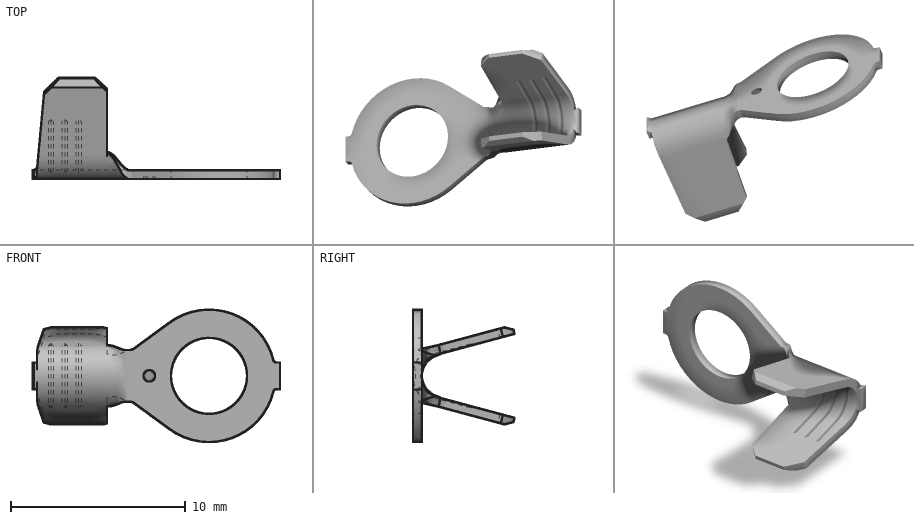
import cadquery as cq
import math

sheet = 0.52

eye_radius = 3.81
hole_radius = 2.175
end_tab_x = 4.08
tab_half_width = 0.77
tab_fillet = 0.18

neck_half_width = 1.49
neck_eye_x = -4.42
neck_fillet = 0.45
trough_end_x = -4.62
dimple_x = -3.43
dimple_radius = 0.33
dimple_depth = 0.14

barrel_front_x = -5.845
barrel_rear_x = -9.88
rear_tab_x = -10.14
rear_tab_flat = 0.08
bend_radius = 1.8
flare_angle = math.radians(15)
overall_height = 5.84
rear_slant_start_y = 0.6
rear_slant_slope = 0.092

rear_corner = (1.26, 1.27)
front_corner = (0.73, 0.69)
coin_length = 0.46
coin_depth = sheet / 2

groove_count = 3
groove_pitch = 0.8
groove_width = 0.3
groove_depth = 0.1
first_groove_x = -9.08
groove_top_y = 3.4

trough_start_angle = math.radians(80)
trough_sections = [
    (
        barrel_front_x,
        bend_radius * math.sin(trough_start_angle),
        bend_radius * (1 - math.cos(trough_start_angle)),
    ),
    (-5.3, 1.64, 0.88),
    (-4.9, 1.5, 0.2),
]

flare_sin = math.sin(flare_angle)
flare_cos = math.cos(flare_angle)
inner_bend_radius = bend_radius - sheet


def box_between(x_start, x_end, y_start, y_end, half_width):
    """Box given by its X and Y limits, centred on Z = 0."""
    corner_plane = cq.Workplane("XY", origin=(x_start, y_start, 0))
    return corner_plane.box(x_end - x_start, y_end - y_start, 2 * half_width, centered=(False, False, True))


def curved_section(x, half_width, rise):
    """Wire at x: a strip of sheet bent to an arc whose outer edges rise above Y = 0."""
    radius = (half_width**2 + rise**2) / (2 * rise)
    inner_scale = (radius - sheet) / radius
    inner_z = half_width * inner_scale
    inner_y = radius - (radius - rise) * inner_scale
    plane = cq.Workplane("YZ", origin=(x, 0, 0))
    outline = plane.moveTo(rise, -half_width).threePointArc((0, 0), (rise, half_width))
    outline = outline.lineTo(inner_y, inner_z).threePointArc((sheet, 0), (inner_y, -inner_z))
    return outline.close().val()


def flat_section(x, half_width):
    """Wire at x: a flat strip of sheet resting on Y = 0."""
    plane = cq.Workplane("YZ", origin=(x, 0, 0))
    outline = plane.moveTo(0, -half_width).lineTo(0, half_width)
    return outline.lineTo(sheet, half_width).lineTo(sheet, -half_width).close().val()


def fillet_corner(body, corner, radius):
    """Round the edge along Y that lies nearest to the given point."""
    nearest = cq.selectors.NearestToPointSelector(corner)
    return body.edges("|Y").edges(nearest).fillet(radius)


def make_eye():
    """Round eye with flanks tangent to it, a short neck, the end tab and the stud hole."""
    neck_distance = math.hypot(neck_eye_x, neck_half_width)
    neck_direction = math.atan2(neck_half_width, neck_eye_x)
    tangent_direction = neck_direction - math.acos(eye_radius / neck_distance)
    tangent_x = eye_radius * math.cos(tangent_direction)
    tangent_z = eye_radius * math.sin(tangent_direction)

    plane = cq.Workplane("XZ", origin=(0, sheet, 0))
    disc = plane.circle(eye_radius).extrude(sheet)
    flanks = (
        plane.polyline(
            [
                (neck_eye_x, -neck_half_width),
                (tangent_x, -tangent_z),
                (tangent_x, tangent_z),
                (neck_eye_x, neck_half_width),
            ]
        )
        .close()
        .extrude(sheet)
    )
    neck = box_between(trough_end_x, tangent_x, 0, sheet, neck_half_width)
    end_tab = box_between(0, end_tab_x, 0, sheet, tab_half_width)
    eye = disc.union(flanks).union(neck).union(end_tab)

    tab_root_x = math.sqrt(eye_radius**2 - tab_half_width**2)
    for side in (-1, 1):
        tab_corner = (tab_root_x, sheet / 2, side * tab_half_width)
        neck_corner = (neck_eye_x, sheet / 2, side * neck_half_width)
        eye = fillet_corner(eye, tab_corner, tab_fillet)
        eye = fillet_corner(eye, neck_corner, neck_fillet)

    hole = plane.circle(hole_radius).extrude(sheet)
    return eye.cut(hole)


def make_trough():
    """Sheet that unrolls from the round barrel to the flat neck."""
    wires = [curved_section(*section) for section in trough_sections]
    wires.append(flat_section(trough_end_x, neck_half_width))
    return cq.Workplane(cq.Solid.makeLoft(wires))


def make_bend():
    """Round bottom of the barrel between the two wings."""
    outer_y = bend_radius * (1 - flare_sin)
    outer_z = bend_radius * flare_cos
    inner_z = inner_bend_radius * flare_cos
    inner_y = bend_radius - inner_bend_radius * flare_sin
    outline = (
        cq.Workplane("YZ", origin=(barrel_rear_x, 0, 0))
        .moveTo(outer_y, -outer_z)
        .threePointArc((0, 0), (outer_y, outer_z))
        .lineTo(inner_y, inner_z)
        .threePointArc((sheet, 0), (inner_y, -inner_z))
        .close()
    )
    return outline.extrude(barrel_front_x - barrel_rear_x)


def make_wing():
    """Wing on the +Z side, with cropped corners and a coined outer tip."""
    inner_root_y = bend_radius - inner_bend_radius * flare_sin
    length = (overall_height - inner_root_y) / flare_cos
    root_y = bend_radius * (1 - flare_sin)
    root_z = bend_radius * flare_cos
    outer_face = cq.Plane((0, root_y, root_z), (1, 0, 0), (0, -flare_sin, flare_cos))

    outline = [
        (barrel_rear_x, 0),
        (barrel_front_x, 0),
        (barrel_front_x, length - front_corner[1]),
        (barrel_front_x - front_corner[0], length),
        (barrel_rear_x + rear_corner[0], length),
        (barrel_rear_x, length - rear_corner[1]),
    ]
    wing = cq.Workplane(outer_face).polyline(outline).close().extrude(-sheet)

    tip_y = root_y + length * flare_cos
    tip_z = root_z + length * flare_sin
    tip_profile = cq.Plane((barrel_rear_x, tip_y, tip_z), (0, flare_cos, flare_sin), (1, 0, 0))
    coin_cut = (
        cq.Workplane(tip_profile)
        .polyline([(0, 0), (-coin_length, 0), (0, -coin_depth)])
        .close()
        .extrude(barrel_front_x - barrel_rear_x)
    )
    return wing.cut(coin_cut)


def make_rear_tab():
    """Carrier tab behind the barrel, flat at its end and curved where it meets the bend."""
    flat_end_x = rear_tab_x + rear_tab_flat
    rise = bend_radius - math.sqrt(bend_radius**2 - tab_half_width**2)
    flat = box_between(rear_tab_x, flat_end_x, 0, sheet, tab_half_width)
    wires = [
        flat_section(flat_end_x, tab_half_width),
        curved_section(barrel_rear_x, tab_half_width, rise),
    ]
    return flat.union(cq.Workplane(cq.Solid.makeLoft(wires, True)))


def make_rear_slant():
    """Cutter that leans the rear edges of the barrel and wings forward."""
    slant_run = (overall_height - rear_slant_start_y) * rear_slant_slope
    return (
        cq.Workplane("XY")
        .polyline(
            [
                (barrel_rear_x, rear_slant_start_y),
                (barrel_rear_x, overall_height),
                (barrel_rear_x + slant_run, overall_height),
            ]
        )
        .close()
        .extrude(overall_height, both=True)
    )


def make_groove(x):
    """Cutter for one V-groove that follows the inside of the bend and both wings."""
    reach = inner_bend_radius + groove_depth
    root_y = bend_radius - reach * flare_sin
    root_z = reach * flare_cos
    top_z = root_z + (groove_top_y - root_y) * flare_sin / flare_cos
    flank_length = groove_width / 2
    flank_taper = math.degrees(math.atan(groove_depth / flank_length))
    flank = (
        cq.Workplane("YZ")
        .moveTo(groove_top_y, -top_z)
        .lineTo(root_y, -root_z)
        .threePointArc((bend_radius - reach, 0), (root_y, root_z))
        .lineTo(groove_top_y, top_z)
        .close()
        .extrude(flank_length, taper=flank_taper)
    )
    return flank.union(flank.mirror("YZ")).translate((x, 0, 0))


def make_dimple():
    """Cutter for the shallow round mark on the outer face beside the neck."""
    return cq.Workplane("XZ").center(dimple_x, 0).circle(dimple_radius).extrude(-dimple_depth)


wing = make_wing()
barrel = make_bend().union(wing).union(wing.mirror("XY"))
for index in range(groove_count):
    barrel = barrel.cut(make_groove(first_groove_x + index * groove_pitch))

barrel = barrel.cut(make_rear_slant())

terminal = make_eye().union(make_trough()).union(barrel).union(make_rear_tab())
result = terminal.cut(make_dimple())